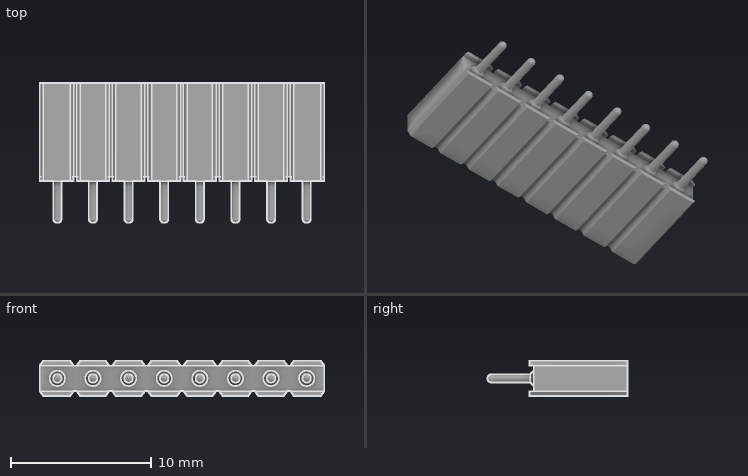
import cadquery as cq
import math

pin_count = 8
length = 20.32
pitch = length / pin_count
height = 2.55
total_depth = 10.0

rail_depth = 7.01
rail_overhang = 0.3
rail_height = 0.37
rail_chamfer = 0.26
rail_gap = 0.2
core_height = height - 2 * rail_height
core_depth = rail_depth - rail_overhang

pin_radius = 0.3
collar_radius = 0.55
collar_length = 0.25
pin_length = total_depth - core_depth
shank_end = pin_length - pin_radius

core_front = -core_depth


def make_core():
    return cq.Workplane("XY").box(length, core_depth, core_height).translate((0, -core_depth / 2, 0))


def make_rail(index):
    """Trapezoidal rail on top of the core, over one pin; the end rails reach the ends of the core."""
    left = -length / 2 + index * pitch
    right = left + pitch
    if index > 0:
        left += rail_gap / 2
    if index < pin_count - 1:
        right -= rail_gap / 2
    bottom = core_height / 2
    top = height / 2
    return (
        cq.Workplane("XZ")
        .moveTo(left, bottom)
        .lineTo(right, bottom)
        .lineTo(right - rail_chamfer, top)
        .lineTo(left + rail_chamfer, top)
        .close()
        .extrude(rail_depth)
    )


def make_pin(index):
    """Pin revolved about its own axis, standing on the front face of the core."""
    center_x = -length / 2 + (index + 0.5) * pitch
    tip_mid = pin_radius * math.sqrt(0.5)
    return (
        cq.Workplane("XY", origin=(center_x, core_front, 0))
        .lineTo(collar_radius, 0)
        .lineTo(pin_radius, -collar_length)
        .lineTo(pin_radius, -shank_end)
        .threePointArc((tip_mid, -shank_end - tip_mid), (0, -pin_length))
        .close()
        .revolve(360, (0, 0, 0), (0, 1, 0))
    )


result = make_core()
for i in range(pin_count):
    rail = make_rail(i)
    result = result.union(rail).union(rail.mirror("XY")).union(make_pin(i))